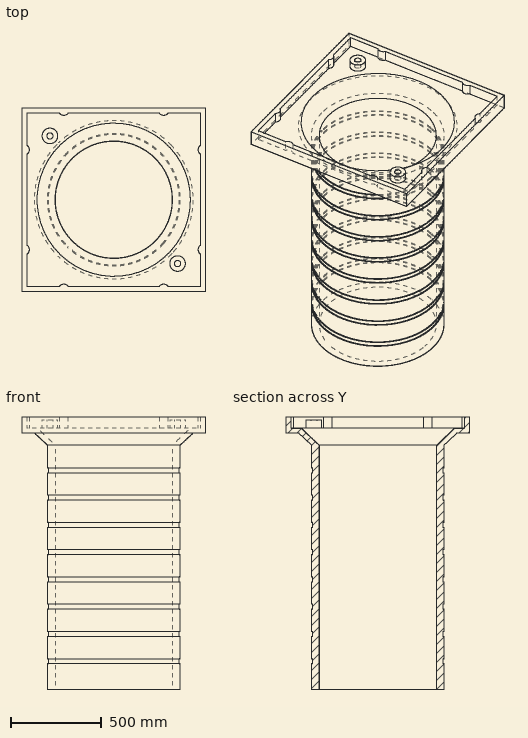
import cadquery as cq

total_height = 1500.0
frame_side = 1010.0
frame_height = 90.0
rim_width = 28.0
tray_depth = 62.0
frame_bottom = total_height - frame_height
tray_floor = total_height - tray_depth
tray_side = frame_side - 2 * rim_width

pipe_diameter = 730.0
bore_diameter = 644.0
funnel_bottom = 1344.0
funnel_outer_diameter = 873.0
funnel_mouth_diameter = 843.0

groove_diameter = 720.0
groove_width = 27.0
groove_pitch = 150.0
groove_count = 8
lowest_groove = 142.0

boss_diameter = 85.0
boss_hole_diameter = 35.0
boss_height = 44.0
boss_offset = 351.0

spacer_radius = 30.0
spacer_projection = 12.0
spacer_offset = 275.0


def make_frame():
    """Square plate with a shallow tray in its top."""
    plate = cq.Workplane("XY").workplane(offset=frame_bottom).rect(frame_side, frame_side).extrude(frame_height)
    tray = cq.Workplane("XY").workplane(offset=tray_floor).rect(tray_side, tray_side).extrude(tray_depth)
    return plate.cut(tray)


def make_pipe():
    """Solid pipe body that widens into a cone under the frame."""
    profile = [
        (0, 0),
        (pipe_diameter / 2, 0),
        (pipe_diameter / 2, funnel_bottom),
        (funnel_outer_diameter / 2, frame_bottom),
        (0, frame_bottom),
    ]
    return cq.Workplane("XZ").polyline(profile).close().revolve(360, (0, 0), (0, 1))


def make_passage():
    """Straight bore with a conical mouth that opens at the tray floor."""
    profile = [
        (0, 0),
        (bore_diameter / 2, 0),
        (bore_diameter / 2, funnel_bottom),
        (funnel_mouth_diameter / 2, tray_floor),
        (0, tray_floor),
    ]
    return cq.Workplane("XZ").polyline(profile).close().revolve(360, (0, 0), (0, 1))


def make_groove(bottom):
    """Ring that is cut from the outside of the pipe."""
    ring = cq.Workplane("XY").workplane(offset=bottom).circle(pipe_diameter / 2).circle(groove_diameter / 2)
    return ring.extrude(groove_width)


def make_bosses():
    """Two hollow bosses standing on the tray floor."""
    centers = [(-boss_offset, boss_offset), (boss_offset, -boss_offset)]
    floor = cq.Workplane("XY").workplane(offset=tray_floor).pushPoints(centers)
    bosses = floor.circle(boss_diameter / 2).extrude(boss_height)
    holes = floor.circle(boss_hole_diameter / 2).extrude(boss_height)
    return bosses.cut(holes)


def make_spacers():
    """Two upright round spacers on each inner face of the rim."""
    axis_distance = tray_side / 2 + spacer_radius - spacer_projection
    centers = []
    for side in (-1, 1):
        for offset in (-spacer_offset, spacer_offset):
            centers.append((side * axis_distance, offset))
            centers.append((offset, side * axis_distance))
    floor = cq.Workplane("XY").workplane(offset=tray_floor)
    cylinders = floor.pushPoints(centers).circle(spacer_radius).extrude(tray_depth)
    envelope = floor.rect(frame_side, frame_side).extrude(tray_depth)
    return cylinders.intersect(envelope)


result = make_frame().union(make_pipe()).cut(make_passage())
for index in range(groove_count):
    result = result.cut(make_groove(lowest_groove + index * groove_pitch))
result = result.union(make_bosses()).union(make_spacers())